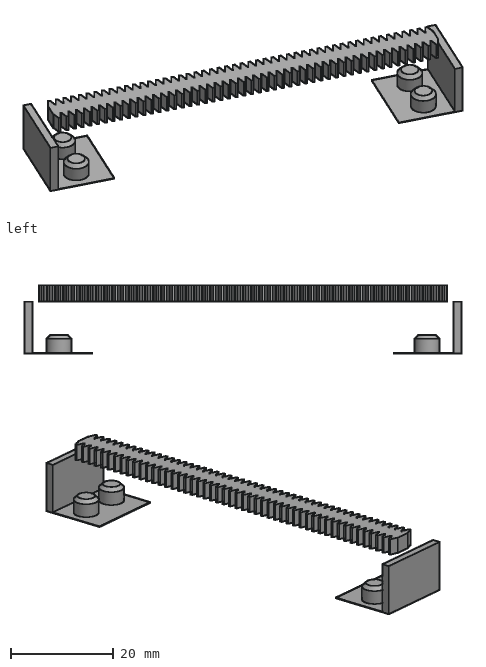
import cadquery as cq

overall_length = 85.6
overall_height = 13.4

rack_length = 79.95
tooth_count = 50
rack_thickness = 3.25
rack_width = 6.4
root_width = 3.2
tip_flat = 0.4
root_flat = 0.2

bracket_width = 16.0
bracket_length = 13.3
base_thickness = 0.2
wall_thickness = 1.6

boss_diameter = 5.0
boss_spacing = 8.0
boss_offset = 6.8
boss_height = 3.5
boss_chamfer = 0.8

tooth_pitch = rack_length / tooth_count
rack_bottom = overall_height - rack_thickness
wall_height = rack_bottom


def tooth_edge(side):
    """Points along one toothed edge, from -Y to +Y; side is +1 for +X and -1 for -X."""
    root_x = side * root_width / 2
    tip_x = side * rack_width / 2
    root_reach = (tooth_pitch - root_flat) / 2
    points = [(root_x, -rack_length / 2)]
    for i in range(tooth_count):
        tooth_y = -rack_length / 2 + (i + 0.5) * tooth_pitch
        points.append((root_x, tooth_y - root_reach))
        points.append((tip_x, tooth_y - tip_flat / 2))
        points.append((tip_x, tooth_y + tip_flat / 2))
        points.append((root_x, tooth_y + root_reach))
    points.append((root_x, rack_length / 2))
    return points


def make_rack():
    """Flat bar with teeth along both long edges, with narrow flats at tips and roots."""
    outline = tooth_edge(1) + tooth_edge(-1)[::-1]
    return (
        cq.Workplane("XY")
        .workplane(offset=rack_bottom)
        .polyline(outline)
        .close()
        .extrude(rack_thickness)
    )


def make_bracket(end):
    """Thin base with an upright outer wall and two bosses; end is +1 for +Y and -1 for -Y."""
    outer_y = end * overall_length / 2
    base = (
        cq.Workplane("XY")
        .center(0, outer_y - end * bracket_length / 2)
        .rect(bracket_width, bracket_length)
        .extrude(base_thickness)
    )
    wall = (
        cq.Workplane("XY")
        .center(0, outer_y - end * wall_thickness / 2)
        .rect(bracket_width, wall_thickness)
        .extrude(wall_height)
    )
    boss_y = outer_y - end * boss_offset
    bosses = (
        cq.Workplane("XY")
        .pushPoints([(-boss_spacing / 2, boss_y), (boss_spacing / 2, boss_y)])
        .circle(boss_diameter / 2)
        .extrude(base_thickness + boss_height)
        .faces(">Z")
        .chamfer(boss_chamfer)
    )
    return base.union(wall).union(bosses)


rack = make_rack()
brackets = [make_bracket(end) for end in (-1, 1)]

result = cq.Compound.makeCompound([rack.val(), *[bracket.val() for bracket in brackets]])